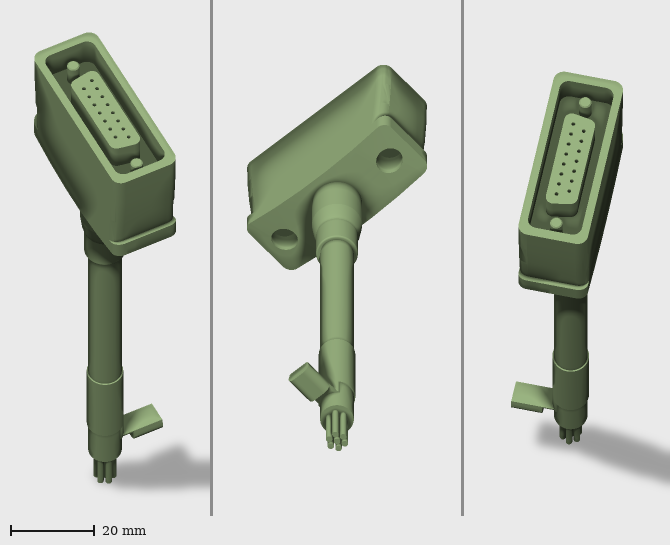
import cadquery as cq
import math

TOTAL_LENGTH = 141.0

HOOD_WIDTH = 45.0
HOOD_DEPTH = 16.9
HOOD_BOTTOM = 110.1
BODY_CORNER_RADIUS = 2.5
FOOT_CORNER_RADIUS = 2.4
FOOT_CORNER_Z = 113.2
FOOT_TOP_OUTER = 117.6
FOOT_LEDGE_DROP = 1.3
WAIST_INSET = 1.5

CAVITY_WIDTH = 40.5
CAVITY_DEPTH_Y = 13.1
CAVITY_RADIUS = 2.3
CAVITY_DEPTH = 7.8
PLUG_WIDTH = 25.5
PLUG_DEPTH_Y = 7.6
PLUG_SIDE_ANGLE = 10.0
PLUG_RADIUS = 1.8
PLUG_RECESS = 1.1
PIN_ROW_LENGTH = 19.3
LONG_ROW_PINS = 8
PIN_ROW_SPACING = 2.8
PIN_HOLE_DIAMETER = 0.92
PIN_HOLE_DEPTH = 2.8
SCREW_OFFSET = 16.6
SCREW_DIAMETER = 3.0
SCREW_RECESS = 2.3
SCREW_CHAMFER = 0.3
ACCESS_HOLE_DIAMETER = 6.3
ACCESS_HOLE_TOP = 118.5

GLAND_DIAMETER = 12.0
GLAND_BOTTOM = 100.1
COLLAR_DIAMETER = 10.0
COLLAR_TOP = 94.9
COLLAR_BOTTOM = 86.7
COLLAR_FILLET = 0.4
CABLE_DIAMETER = 8.0
CABLE_BOTTOM = 10.2
WRAP_DIAMETER = 8.7
WRAP_TOP = 40.2
WRAP_BOTTOM = 20.6
WIRE_DIAMETER = 1.5
WIRE_PITCH = 2.0
OUTER_WIRES = 6

FLAG_WIDTH = 6.3
FLAG_TOP = 16.5
FLAG_THICKNESS = 3.7
FLAG_ROUNDING = 1.8
FLAG_TOP_WIDTH = 5.5
FLAG_TIP_Y = 14.0
FLAG_LENGTH = 7.6
STRIP_THICKNESS = 0.4

CAVITY_FLOOR = TOTAL_LENGTH - CAVITY_DEPTH
OVERLAP = 0.7


def cylinder(diameter, bottom, top, x=0.0, y=0.0):
    return cq.Workplane("XY", origin=(x, y, bottom)).circle(diameter / 2).extrude(top - bottom)


def extruded_across_hood(outline):
    return outline.extrude(HOOD_DEPTH / 2, both=True)


def hood_foot():
    """Full-width band at the bottom of the hood, with a bowed underside."""
    half = HOOD_WIDTH / 2
    ledge_x = half - 2 * WAIST_INSET
    ledge_z = FOOT_TOP_OUTER - FOOT_LEDGE_DROP
    outline = (
        cq.Workplane("XZ")
        .moveTo(-half, FOOT_CORNER_Z)
        .threePointArc((0, HOOD_BOTTOM), (half, FOOT_CORNER_Z))
        .lineTo(half, FOOT_TOP_OUTER)
        .lineTo(ledge_x, ledge_z)
        .lineTo(-ledge_x, ledge_z)
        .lineTo(-half, FOOT_TOP_OUTER)
        .close()
    )
    return extruded_across_hood(outline).edges("|Z").fillet(FOOT_CORNER_RADIUS)


def hood_body():
    """Upper hood whose sides curve inward towards the foot."""
    half = HOOD_WIDTH / 2
    waist = half - WAIST_INSET
    waist_z = FOOT_TOP_OUTER - FOOT_LEDGE_DROP
    drop = TOTAL_LENGTH - waist_z
    side_radius = (drop**2 + WAIST_INSET**2) / (2 * WAIST_INSET)
    outline = (
        cq.Workplane("XZ")
        .moveTo(-waist, waist_z)
        .lineTo(waist, waist_z)
        .radiusArc((half, TOTAL_LENGTH), -side_radius)
        .lineTo(-half, TOTAL_LENGTH)
        .radiusArc((-waist, waist_z), -side_radius)
        .close()
    )
    body = extruded_across_hood(outline)
    margin = WAIST_INSET + OVERLAP
    face_y = HOOD_DEPTH / 2
    for side in (-1, 1):
        for face in (-1, 1):
            corner = cq.selectors.BoxSelector(
                (side * (half - margin), face * (face_y - OVERLAP), waist_z + OVERLAP),
                (side * (half + OVERLAP), face * (face_y + OVERLAP), TOTAL_LENGTH - OVERLAP),
            )
            body = body.edges(corner).fillet(BODY_CORNER_RADIUS)
    return body


def cavity():
    return (
        cq.Workplane("XY", origin=(0, 0, CAVITY_FLOOR))
        .rect(CAVITY_WIDTH, CAVITY_DEPTH_Y)
        .extrude(CAVITY_DEPTH)
        .edges("|Z")
        .fillet(CAVITY_RADIUS)
    )


def plug():
    """D-shaped plug face with two staggered rows of pin holes."""
    half = PLUG_WIDTH / 2
    half_y = PLUG_DEPTH_Y / 2
    taper = PLUG_DEPTH_Y * math.tan(math.radians(PLUG_SIDE_ANGLE))
    face_z = TOTAL_LENGTH - PLUG_RECESS
    corners = [(-half, half_y), (half, half_y), (half - taper, -half_y), (taper - half, -half_y)]
    body = (
        cq.Workplane("XY", origin=(0, 0, CAVITY_FLOOR - OVERLAP))
        .polyline(corners)
        .close()
        .extrude(face_z - CAVITY_FLOOR + OVERLAP)
        .edges("|Z")
        .fillet(PLUG_RADIUS)
    )
    pitch = PIN_ROW_LENGTH / (LONG_ROW_PINS - 1)
    holes = []
    for count, row_y in ((LONG_ROW_PINS, PIN_ROW_SPACING / 2), (LONG_ROW_PINS - 1, -PIN_ROW_SPACING / 2)):
        for i in range(count):
            holes.append(((i - (count - 1) / 2) * pitch, row_y))
    drills = (
        cq.Workplane("XY", origin=(0, 0, face_z - PIN_HOLE_DEPTH))
        .pushPoints(holes)
        .circle(PIN_HOLE_DIAMETER / 2)
        .extrude(PIN_HOLE_DEPTH)
    )
    return body.cut(drills)


def hood():
    shell = hood_body().union(hood_foot()).cut(cavity()).union(plug())
    for x in (-SCREW_OFFSET, SCREW_OFFSET):
        screw = cylinder(SCREW_DIAMETER, CAVITY_FLOOR - OVERLAP, TOTAL_LENGTH - SCREW_RECESS, x)
        shell = shell.union(screw.faces(">Z").chamfer(SCREW_CHAMFER))
        shell = shell.cut(cylinder(ACCESS_HOLE_DIAMETER, HOOD_BOTTOM, ACCESS_HOLE_TOP, x))
    return shell


def cable():
    """Turned profile from the hood gland down to the stripped cable end."""
    gland, collar, jacket, wrap = (
        d / 2 for d in (GLAND_DIAMETER, COLLAR_DIAMETER, CABLE_DIAMETER, WRAP_DIAMETER)
    )
    hood_joint = HOOD_BOTTOM + OVERLAP
    return (
        cq.Workplane("XZ")
        .moveTo(0, hood_joint)
        .lineTo(gland, hood_joint)
        .lineTo(gland, GLAND_BOTTOM)
        .tangentArcPoint((collar, COLLAR_TOP), relative=False)
        .lineTo(collar, COLLAR_BOTTOM + COLLAR_FILLET)
        .tangentArcPoint((collar - COLLAR_FILLET, COLLAR_BOTTOM), relative=False)
        .lineTo(jacket, COLLAR_BOTTOM)
        .lineTo(jacket, WRAP_TOP)
        .lineTo(wrap, WRAP_TOP)
        .lineTo(wrap, WRAP_BOTTOM)
        .lineTo(jacket, WRAP_BOTTOM)
        .lineTo(jacket, CABLE_BOTTOM)
        .lineTo(0, CABLE_BOTTOM)
        .close()
        .revolve(360, (0, 0, 0), (0, 1, 0))
    )


def wires():
    """One centre wire inside a ring of evenly spaced wires."""
    top = CABLE_BOTTOM + OVERLAP
    bundle = cylinder(WIRE_DIAMETER, 0, top)
    for i in range(OUTER_WIRES):
        angle = 2 * math.pi * i / OUTER_WIRES
        x = WIRE_PITCH * math.cos(angle)
        y = WIRE_PITCH * math.sin(angle)
        bundle = bundle.union(cylinder(WIRE_DIAMETER, 0, top, x, y))
    return bundle


def box_between(width, y_start, y_end, bottom, top):
    middle = (0, (y_start + y_end) / 2, bottom)
    return cq.Workplane("XY", origin=middle).rect(width, y_end - y_start).extrude(top - bottom)


def flag_block(y_start):
    """Block with a flat top, slightly sloped sides and rounded lower edges."""
    half = FLAG_WIDTH / 2
    half_top = FLAG_TOP_WIDTH / 2
    bottom = FLAG_TOP - FLAG_THICKNESS
    widest_z = bottom + FLAG_ROUNDING
    return (
        cq.Workplane("XZ", origin=(0, FLAG_TIP_Y, 0))
        .moveTo(-half_top, FLAG_TOP)
        .lineTo(-half, widest_z)
        .radiusArc((FLAG_ROUNDING - half, bottom), -FLAG_ROUNDING)
        .lineTo(half - FLAG_ROUNDING, bottom)
        .radiusArc((half, widest_z), -FLAG_ROUNDING)
        .lineTo(half_top, FLAG_TOP)
        .close()
        .extrude(FLAG_TIP_Y - y_start)
    )


def flag():
    """Strap running down from the wrap, a thin strip outward, and the flag block at its end."""
    strip_bottom = FLAG_TOP - STRIP_THICKNESS
    flag_start = FLAG_TIP_Y - FLAG_LENGTH
    strap = cylinder(WRAP_DIAMETER, strip_bottom, WRAP_BOTTOM).intersect(
        box_between(FLAG_WIDTH, 0, WRAP_DIAMETER, strip_bottom, WRAP_BOTTOM)
    )
    strip = box_between(FLAG_TOP_WIDTH, 0, flag_start, strip_bottom, FLAG_TOP)
    return strap.union(strip).union(flag_block(flag_start))


result = hood().union(cable()).union(wires()).union(flag())